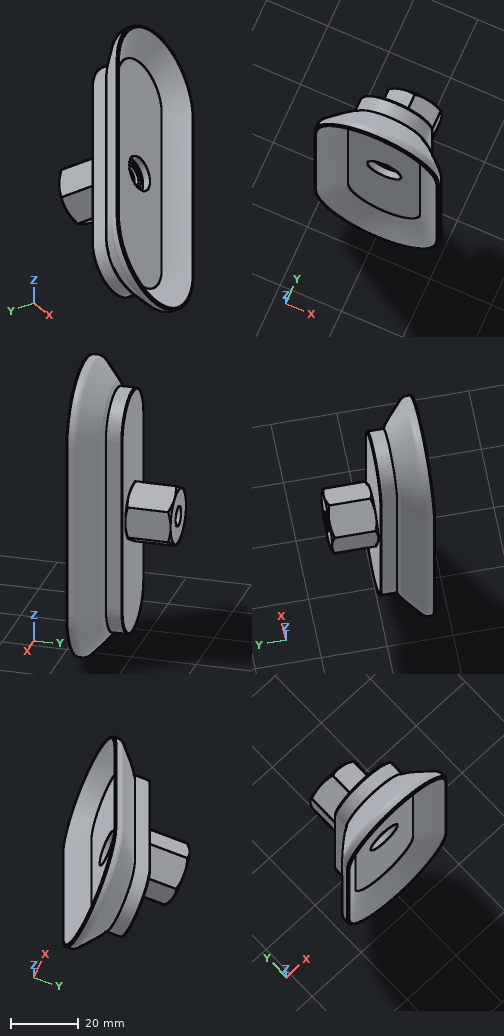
import cadquery as cq
import math

LENGTH = 95.5
WIDTH = 40.5
TOTAL_DEPTH = 29.0
CENTRE_SPAN = LENGTH - WIDTH

LIP_RADIUS = WIDTH / 2
LIP_EDGE_RADIUS = LIP_RADIUS - 0.3
LIP_EDGE_DEPTH = 0.4
RIM_DEPTH = 1.6
FLARE_START = (19.5, 3.3)
FLARE_MIDDLE = (16.8, 5.9)
FLARE_END = (13.2, 9.0)
SHOULDER_END = (12.1, 9.55)
NECK_DEPTH = 9.9
PLATE_RADIUS = 11.7
PLATE_DEPTH = 15.0
PLATE_EDGE_CHAMFER = 0.3
RIM_BULGE = (20.1, 2.6)

MOUTH_RADIUS = 19.6
INNER_LIP = (19.3, 0.4)
HOLLOW_MIDDLE = (15.95, 3.15)
FLOOR_DEPTH = 5.8

HEX_FLATS = 17.0
HEX_CHAMFER_ANGLE = math.radians(30)

COUNTERBORE_DIAMETER = 11.0
COUNTERBORE_DEPTH = 2.5
COUNTERSINK_DIAMETER = 8.6
BORE_DIAMETER = 6.0
COUNTERSINK_DEPTH = 0.4
THROAT_DIAMETER = 7.2
THROAT_DEPTH = 1.0


def sweep_stadium(half_profile):
    """Carry a (radius, depth) half profile around the long rounded outline."""
    end = half_profile.revolve(360, (0, 0, 0), (0, 1, 0))
    straight = half_profile.toPending().extrude(CENTRE_SPAN / 2, both=True)
    straight = straight.union(straight.mirror("YZ"))
    top_end = end.translate((0, 0, CENTRE_SPAN / 2))
    bottom_end = end.translate((0, 0, -CENTRE_SPAN / 2))
    return straight.union(top_end).union(bottom_end)


def make_cup():
    outside = (
        cq.Workplane("XY")
        .lineTo(LIP_EDGE_RADIUS, 0)
        .lineTo(LIP_RADIUS, LIP_EDGE_DEPTH)
        .lineTo(LIP_RADIUS, RIM_DEPTH)
        .threePointArc(RIM_BULGE, FLARE_START)
        .threePointArc(FLARE_MIDDLE, FLARE_END)
        .lineTo(*SHOULDER_END)
        .lineTo(PLATE_RADIUS, NECK_DEPTH)
        .lineTo(PLATE_RADIUS, PLATE_DEPTH - PLATE_EDGE_CHAMFER)
        .lineTo(PLATE_RADIUS - PLATE_EDGE_CHAMFER, PLATE_DEPTH)
        .lineTo(0, PLATE_DEPTH)
        .close()
    )
    hollow = (
        cq.Workplane("XY")
        .lineTo(MOUTH_RADIUS, 0)
        .lineTo(*INNER_LIP)
        .threePointArc(HOLLOW_MIDDLE, (PLATE_RADIUS, FLOOR_DEPTH))
        .lineTo(0, FLOOR_DEPTH)
        .close()
    )
    return sweep_stadium(outside).cut(sweep_stadium(hollow))


def make_hex_fitting():
    """Hexagon with corners on Z, both ends turned to a cone that meets the flats."""
    corner_radius = HEX_FLATS / math.sqrt(3)
    face_radius = HEX_FLATS / 2
    chamfer_depth = (corner_radius - face_radius) * math.tan(HEX_CHAMFER_ANGLE)
    hexagon = (
        cq.Workplane("XZ", origin=(0, PLATE_DEPTH, 0))
        .transformed(rotate=(0, 0, 90))
        .polygon(6, 2 * corner_radius)
        .extrude(PLATE_DEPTH - TOTAL_DEPTH)
    )
    turned_envelope = (
        cq.Workplane("XY")
        .moveTo(0, PLATE_DEPTH)
        .lineTo(face_radius, PLATE_DEPTH)
        .lineTo(corner_radius, PLATE_DEPTH + chamfer_depth)
        .lineTo(corner_radius, TOTAL_DEPTH - chamfer_depth)
        .lineTo(face_radius, TOTAL_DEPTH)
        .lineTo(0, TOTAL_DEPTH)
        .close()
        .revolve(360, (0, 0, 0), (0, 1, 0))
    )
    return hexagon.intersect(turned_envelope)


def make_bore():
    step_depth = FLOOR_DEPTH + COUNTERBORE_DEPTH
    return (
        cq.Workplane("XY")
        .lineTo(COUNTERBORE_DIAMETER / 2, 0)
        .lineTo(COUNTERBORE_DIAMETER / 2, step_depth)
        .lineTo(COUNTERSINK_DIAMETER / 2, step_depth)
        .lineTo(THROAT_DIAMETER / 2, step_depth + COUNTERSINK_DEPTH)
        .lineTo(BORE_DIAMETER / 2, step_depth + COUNTERSINK_DEPTH + THROAT_DEPTH)
        .lineTo(BORE_DIAMETER / 2, TOTAL_DEPTH)
        .lineTo(0, TOTAL_DEPTH)
        .close()
        .revolve(360, (0, 0, 0), (0, 1, 0))
    )


result = make_cup().union(make_hex_fitting()).cut(make_bore())